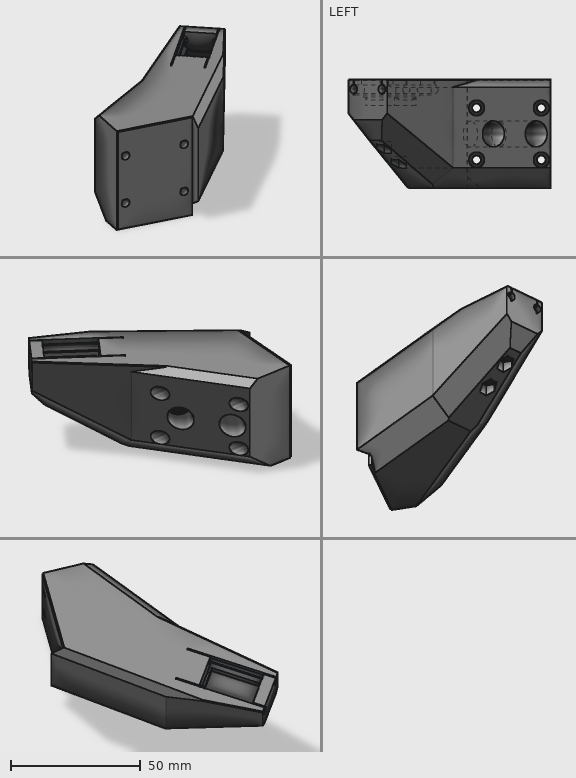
import cadquery as cq
import math


height = 42.0
tip_x = 4.6
lug_y = 32.3
pad_thickness = 0.6
pad_inset = 0.3
pad_lug_gap = 0.3
top_bevel = 3.0
bottom_bevel = 8.0
front_face_angle = 52.7
back_face_angle = 36.87
arm_reach = 100.0
far = 200.0

arm_angle = 33.9
arm_taper = 7.5
arm_length = 38.0
end_half_width = 8.97
end_side_depth = 13.1
end_bottom_depth = 20.5
arm_top_bevel = 0.4
arm_bottom_bevel_angle = 47.5
nose_depth = 15.6
nose_length = 5.1
nose_drop = 7.6
end_corner_x = -77.71
end_corner_y = 77.86

slit_spacing = 13.1
slit_width = 0.5
slit_depth = 5.9
slit_length = 36.2
bore_diameter = 3.3
bore_depth = 3.74
pocket_start = 4.9
pocket_length = 21.8
pocket_ledge = 1.0
inner_pocket_width = 9.9
inner_pocket_depth = 10.0
trough_slope = 28.0
trough_flat = 6.0

nut_flats = 5.7
nut_positions = (11.2, 21.3)
nut_seat_height = 3.0

blind_diameter = 10.0
blind_positions = (56.6, 76.2)
blind_floor = -9.5
screw_diameter = 3.3
head_diameter = 6.0
head_floor_x = -5.0
screw_y = (3.55, 28.5)
screw_spacing_z = 20.0
screw_z = (height / 2 - screw_spacing_z / 2, height / 2 + screw_spacing_z / 2)


def direction(angle):
    """Horizontal unit vector turned the given angle clockwise from +X."""
    return cq.Vector(math.cos(math.radians(angle)), -math.sin(math.radians(angle)), 0)


arm_axis = direction(arm_angle)
arm_across = direction(arm_angle - 90)
end_centre = cq.Vector(
    end_corner_x + end_half_width * arm_across.x, end_corner_y - end_half_width * arm_across.y, height
)


def arm_plane(along=0.0, across=0.0, depth=0.0):
    """Horizontal plane in the arm's frame: local X along the axis, local Y across it."""
    origin = end_centre + arm_axis * along + arm_across * across + cq.Vector(0, 0, -depth)
    return cq.Plane(origin=origin, xDir=arm_axis, normal=(0, 0, 1))


def along_axis_plane(along=0.0):
    """Upright plane facing along the arm: local X across the arm, local Y up."""
    return cq.Plane(origin=end_centre + arm_axis * along, xDir=arm_across * -1, normal=arm_axis * -1)


def half_width(along):
    return end_half_width + along * math.tan(math.radians(arm_taper))


def bottom_depth(along):
    return end_bottom_depth + along * (height - end_bottom_depth) / arm_length


def side_depth(along):
    return end_side_depth + along * (height - bottom_bevel - end_side_depth) / arm_length


def arm_section(along, front_open):
    """Corners of the arm's cross-section; front_open runs its front bevel on up to the top."""
    width = half_width(along)
    side = side_depth(along)
    bottom = bottom_depth(along)
    bevel_slope = math.tan(math.radians(arm_bottom_bevel_angle))
    bevel = (bottom - side) / bevel_slope
    back = [(width - arm_top_bevel, 0), (width, arm_top_bevel), (width, side), (width - bevel, bottom)]
    if front_open:
        front = [(-(width - bevel), bottom), (-(width + side / bevel_slope), 0)]
    else:
        front = [(-across, depth) for across, depth in reversed(back)]
    frame = end_centre + arm_axis * along
    return [frame + arm_across * across + cq.Vector(0, 0, -depth) for across, depth in back + front]


def solid_between(first, second):
    """Solid with flat faces joining two polygons that have matching corners."""
    outlines = [first, second]
    for i in range(len(first)):
        j = (i + 1) % len(first)
        outlines.append([first[i], first[j], second[j], second[i]])
    faces = [cq.Face.makeFromWires(cq.Wire.makePolygon(points, close=True)) for points in outlines]
    return cq.Workplane(cq.Solid.makeSolid(cq.Shell.makeShell(faces)))


def arm(front_open=False):
    """Full arm, run on past the block; its later trims bring it to size."""
    return solid_between(arm_section(0, front_open), arm_section(arm_reach, front_open))


def long_bar(point, face_angle, inward, profile):
    """Long horizontal bar whose profile is placed at a point; inward is +1 or -1 across the bar."""
    along = direction(face_angle)
    frame = cq.Plane(
        origin=(point.x, point.y, 0), xDir=direction(face_angle - 90) * inward, normal=along * inward
    )
    return cq.Workplane(frame).polyline(profile).close().extrude(far, both=True)


def box_between(low, high):
    return cq.Workplane("XY").box(*(b - a for a, b in zip(low, high)), centered=False).translate(low)


def build_body():
    """Arm and block joined, trimmed to the bevelled back face and the lug, with the raised pad."""
    front_corner = end_centre + arm_axis * arm_length - arm_across * half_width(arm_length)
    back_corner = cq.Vector(tip_x, lug_y, 0)
    inside = [(far, height), (far, 0), (bottom_bevel, 0)]
    bevelled_face = inside + [(0, bottom_bevel), (0, height - top_bevel), (top_bevel, height)]
    bottom_bevel_only = inside + [(bottom_bevel - height, height)]
    front_bar = long_bar(front_corner, front_face_angle, 1, bevelled_face)
    under_front = long_bar(front_corner, front_face_angle, 1, bottom_bevel_only)
    back_bar = long_bar(back_corner, back_face_angle, -1, bevelled_face)
    room = box_between((-far, 0, 0), (-pad_thickness, far, height)).union(
        box_between((-far, lug_y, 0), (far, far, height))
    )
    block = arm(front_open=True).intersect(front_bar)
    pad = box_between(
        (-2 * pad_thickness, pad_inset, pad_inset), (0, lug_y - pad_lug_gap, height - pad_inset)
    )
    trimmed_arm = arm().intersect(under_front)
    return trimmed_arm.union(block).intersect(back_bar).intersect(room).union(pad)


def nose_cut():
    """Wedge that bevels the bottom corner of the end face; it overshoots the bevel at both ends."""
    steepness = nose_drop / nose_length
    start = -nose_length
    end = 2 * nose_length
    plane = cq.Plane(origin=end_centre - arm_across * far, xDir=arm_axis, normal=arm_across * -1)
    return (
        cq.Workplane(plane)
        .polyline([
            (start, -nose_depth - steepness * start),
            (end, -nose_depth - steepness * end),
            (start, -nose_depth - steepness * end),
        ])
        .close()
        .extrude(-2 * far)
    )


def clamp_slit(across):
    """Slit open at the top and the end face, with a bore along it."""
    slit = cq.Workplane(arm_plane(0, across)).box(2 * slit_length, slit_width, 2 * slit_depth)
    bore = cq.Workplane(along_axis_plane()).center(-across, -bore_depth)
    return slit.union(bore.circle(bore_diameter / 2).extrude(-slit_length))


def pocket():
    """Pocket between the slits: a trough with sloping sides and a deeper rectangle inside it."""
    half = slit_spacing / 2
    flat = trough_flat / 2
    trough_depth = slit_depth + (half - flat) * math.tan(math.radians(trough_slope))
    trough = (
        cq.Workplane(along_axis_plane(pocket_start))
        .polyline([
            (-half, 0),
            (-half, -slit_depth),
            (-flat, -trough_depth),
            (flat, -trough_depth),
            (half, -slit_depth),
            (half, 0),
        ])
        .close()
        .extrude(-pocket_length)
    )
    inner = cq.Workplane(arm_plane(pocket_start + pocket_length / 2)).rect(
        pocket_length - 2 * pocket_ledge, inner_pocket_width
    ).extrude(-inner_pocket_depth)
    return trough.union(inner)


def nut_pocket(along):
    seat = arm_plane(along, 0, bottom_depth(along) - nut_seat_height)
    level = cq.Plane(origin=seat.origin, xDir=(1, 0, 0), normal=(0, 0, 1))
    corner_diameter = nut_flats / math.cos(math.pi / 6)
    return cq.Workplane(level).polygon(6, corner_diameter).extrude(-height)


def blind_hole(along):
    floor = end_centre + arm_axis * along + arm_across * blind_floor
    plane = cq.Plane(origin=(floor.x, floor.y, height / 2), xDir=arm_axis, normal=arm_across * -1)
    return cq.Workplane(plane).circle(blind_diameter / 2).extrude(far)


def screw_hole(y, z):
    shank = cq.Workplane("YZ").center(y, z).circle(screw_diameter / 2).extrude(far, both=True)
    head = cq.Workplane("YZ", origin=(head_floor_x, 0, 0)).center(y, z)
    return shank.union(head.circle(head_diameter / 2).extrude(-far))


result = build_body().cut(nose_cut())
for side in (-1, 1):
    result = result.cut(clamp_slit(side * slit_spacing / 2))
result = result.cut(pocket())
for position in nut_positions:
    result = result.cut(nut_pocket(position))
for position in blind_positions:
    result = result.cut(blind_hole(position))
for y in screw_y:
    for z in screw_z:
        result = result.cut(screw_hole(y, z))